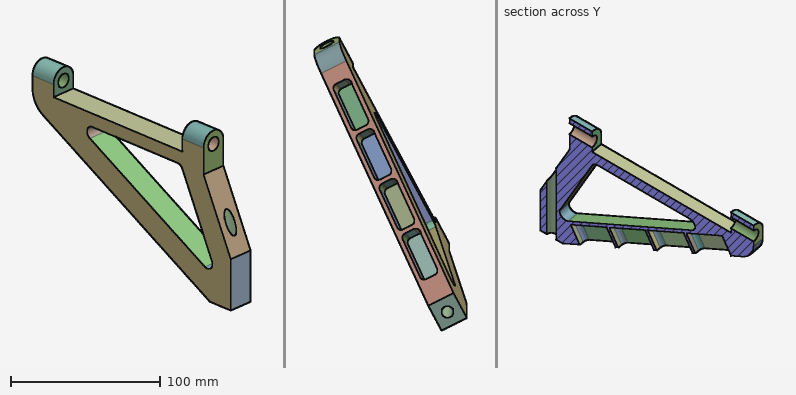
import cadquery as cq
import math

length = 185.4
thickness = 19.1
height = 122.0

lug_width = 19.8
right_lug_end = 160.0
lug_radius = thickness / 2
lug_bore_diameter = 10.0
lug_bore_drop = 10.0
crown_z = height - lug_radius
lug_bore_z = height - lug_bore_drop

rail_top_z = height - thickness
rail_depth = 10.0
bar_width = thickness
heel_radius = thickness
window_radius = 4.8

foot_width = 19.5
foot_height = 2 * thickness
foot_hole_diameter = 8.0
right_bar_top_z = 92.5

pocket_count = 4
pocket_wall = 3.2
pocket_pitch = 38.2
pocket_length = pocket_pitch - pocket_wall
pocket_width = thickness - 2 * pocket_wall
pocket_depth = bar_width - pocket_wall
pocket_corner_radius = 3.2
pocket_end_margin = 17.2

toe_x = length - foot_width
heel_center_x = heel_radius
heel_center_z = rail_top_z
heel_run = toe_x - heel_center_x
sight_angle = math.atan2(heel_center_z, heel_run)
tangent_angle = math.asin(heel_radius / math.hypot(heel_run, heel_center_z))
slope = sight_angle - tangent_angle


def heel_point(angle):
    """Point on the heel arc, with the angle measured down from the -X direction."""
    return (
        heel_center_x - heel_radius * math.cos(angle),
        heel_center_z - heel_radius * math.sin(angle),
    )


def make_frame():
    """Plate with the side outline, centred on Y = 0."""
    heel_end = math.pi / 2 - slope
    return (
        cq.Workplane("XZ")
        .moveTo(0, height)
        .lineTo(lug_width, height)
        .lineTo(lug_width, rail_top_z)
        .lineTo(right_lug_end - lug_width, rail_top_z)
        .lineTo(right_lug_end - lug_width, height)
        .lineTo(right_lug_end, height)
        .lineTo(right_lug_end, right_bar_top_z)
        .lineTo(length, foot_height)
        .lineTo(length, 0)
        .lineTo(toe_x, 0)
        .lineTo(*heel_point(heel_end))
        .threePointArc(heel_point(heel_end / 2), heel_point(0))
        .close()
        .extrude(thickness / 2, both=True)
    )


def make_lug_profile():
    """Full-length bar with a rounded top, which limits the frame to round lugs."""
    body = cq.Workplane("YZ").rect(thickness, 2 * crown_z).extrude(length)
    crown = cq.Workplane("YZ").center(0, crown_z).circle(lug_radius).extrude(length)
    return body.union(crown)


def make_window():
    """Triangular opening left between the rail and the two sloping bars."""
    top_z = rail_top_z - rail_depth

    lower_z0 = toe_x * math.tan(slope) + bar_width / math.cos(slope)

    right_lean = (length - right_lug_end) / (right_bar_top_z - foot_height)
    right_x0 = length + foot_height * right_lean - bar_width * math.hypot(1, right_lean)

    top_left_x = (lower_z0 - top_z) / math.tan(slope)
    top_right_x = right_x0 - top_z * right_lean
    bottom_z = (lower_z0 - right_x0 * math.tan(slope)) / (1 - right_lean * math.tan(slope))
    bottom_x = right_x0 - bottom_z * right_lean

    return (
        cq.Workplane("XZ")
        .polyline([(top_left_x, top_z), (top_right_x, top_z), (bottom_x, bottom_z)])
        .close()
        .extrude(thickness / 2, both=True)
        .edges("|Y")
        .fillet(window_radius)
    )


def make_pockets():
    """Row of round-cornered pockets, running up the lower bar from the toe."""
    bar_face = cq.Plane(
        origin=(toe_x, 0, 0),
        xDir=(-math.cos(slope), 0, math.sin(slope)),
        normal=(math.sin(slope), 0, math.cos(slope)),
    )
    first_center = pocket_end_margin + pocket_length / 2
    centers = [(first_center + i * pocket_pitch, 0) for i in range(pocket_count)]
    return (
        cq.Workplane(bar_face)
        .pushPoints(centers)
        .rect(pocket_length, pocket_width)
        .extrude(pocket_depth)
        .edges(cq.ParallelDirSelector(bar_face.zDir))
        .fillet(pocket_corner_radius)
    )


lug_bore = cq.Workplane("YZ").center(0, lug_bore_z).circle(lug_bore_diameter / 2).extrude(length)

foot_hole = (
    cq.Workplane("XY")
    .center(length - foot_width / 2, 0)
    .circle(foot_hole_diameter / 2)
    .extrude(height)
)

result = (
    make_frame()
    .intersect(make_lug_profile())
    .cut(make_window())
    .cut(make_pockets())
    .cut(lug_bore)
    .cut(foot_hole)
)